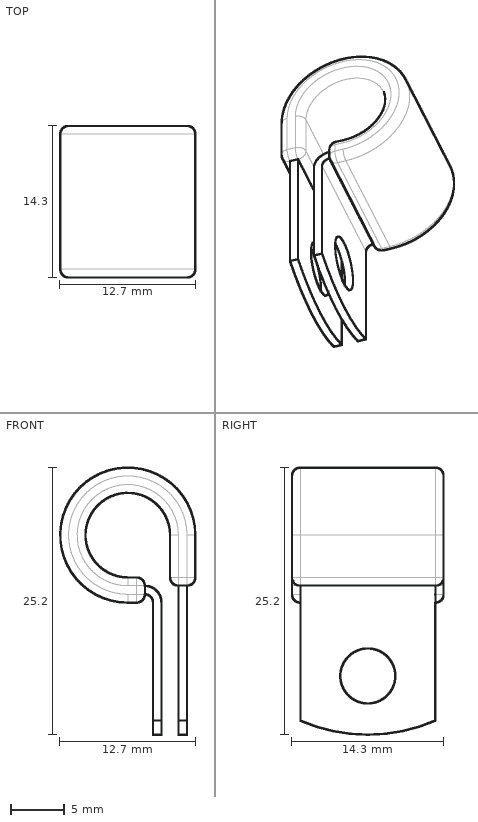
import cadquery as cq
import math


bore_radius = 3.96875
cushion_thickness = 0.79375
strip_thickness = 0.81
strip_width = 12.7
cushion_side_length = 4.7625
cushion_bottom_length = 1.61
tab_gap = 1.5875
tab_bottom_z = -18.79
tab_end_radius = 15.875
hole_diameter = 5.159
hole_center_z = -13.25

cushion_width = strip_width + 2 * cushion_thickness
strip_inner_radius = bore_radius + cushion_thickness
strip_outer_radius = strip_inner_radius + strip_thickness
cushion_outer_radius = strip_outer_radius + cushion_thickness
bent_tab_outer_x = strip_inner_radius - tab_gap
bent_tab_inner_x = bent_tab_outer_x - strip_thickness
bend_outer_radius = bent_tab_outer_x - cushion_bottom_length
bend_inner_radius = bend_outer_radius - strip_thickness


def extrude_centered(profile, width):
    """Extrude an XZ profile symmetrically about the Y = 0 plane."""
    return profile.extrude(width / 2, both=True)


def arc_middle(radius):
    """Middle point of the three-quarter loop arc, up and to the left of the axis."""
    offset = radius * math.sqrt(0.5)
    return (-offset, offset)


def make_cushion():
    """Three-quarter ring with two short straight ends, rounded on every edge."""
    profile = (
        cq.Workplane("XZ")
        .moveTo(cushion_outer_radius, -cushion_side_length)
        .lineTo(cushion_outer_radius, 0)
        .threePointArc(arc_middle(cushion_outer_radius), (0, -cushion_outer_radius))
        .lineTo(cushion_bottom_length, -cushion_outer_radius)
        .lineTo(cushion_bottom_length, -bore_radius)
        .lineTo(0, -bore_radius)
        .threePointArc(arc_middle(bore_radius), (bore_radius, 0))
        .lineTo(bore_radius, -cushion_side_length)
        .close()
    )
    cushion = extrude_centered(profile, cushion_width)
    wall_middle_radius = (bore_radius + cushion_outer_radius) / 2
    side_end = cq.selectors.NearestToPointSelector((wall_middle_radius, 0, -cushion_side_length))
    bottom_end = cq.selectors.NearestToPointSelector((cushion_bottom_length, 0, -wall_middle_radius))
    rounded_faces = cushion.faces("|Y").add(cushion.faces(side_end)).add(cushion.faces(bottom_end))
    return rounded_faces.edges().fillet(cushion_thickness)


def make_strip():
    """Constant-thickness strip: straight tab, loop, then a bend into the second tab."""
    bend_center_z = -strip_inner_radius - bend_outer_radius

    def bend_middle(radius):
        offset = radius * math.sqrt(0.5)
        return (cushion_bottom_length + offset, bend_center_z + offset)

    profile = (
        cq.Workplane("XZ")
        .moveTo(strip_outer_radius, tab_bottom_z)
        .lineTo(strip_outer_radius, 0)
        .threePointArc(arc_middle(strip_outer_radius), (0, -strip_outer_radius))
        .lineTo(cushion_bottom_length, -strip_outer_radius)
        .threePointArc(bend_middle(bend_inner_radius), (bent_tab_inner_x, bend_center_z))
        .lineTo(bent_tab_inner_x, tab_bottom_z)
        .lineTo(bent_tab_outer_x, tab_bottom_z)
        .lineTo(bent_tab_outer_x, bend_center_z)
        .threePointArc(bend_middle(bend_outer_radius), (cushion_bottom_length, -strip_inner_radius))
        .lineTo(0, -strip_inner_radius)
        .threePointArc(arc_middle(strip_inner_radius), (strip_inner_radius, 0))
        .lineTo(strip_inner_radius, tab_bottom_z)
        .close()
    )
    return extrude_centered(profile, strip_width)


def round_tab_ends(strip):
    """Trim the lower ends of both tabs to one shallow arc across the width."""
    half_width = strip_width / 2
    arc_height = tab_end_radius - math.sqrt(tab_end_radius**2 - half_width**2)
    tab_corner_z = tab_bottom_z + arc_height
    envelope = (
        cq.Workplane("YZ")
        .moveTo(-half_width, tab_corner_z)
        .threePointArc((0, tab_bottom_z), (half_width, tab_corner_z))
        .lineTo(half_width, cushion_outer_radius)
        .lineTo(-half_width, cushion_outer_radius)
        .close()
        .extrude(cushion_outer_radius, both=True)
    )
    return strip.intersect(envelope)


def make_screw_hole():
    """Cylinder along X that pierces both tabs."""
    return (
        cq.Workplane("YZ")
        .center(0, hole_center_z)
        .circle(hole_diameter / 2)
        .extrude(cushion_outer_radius)
    )


strip = round_tab_ends(make_strip()).cut(make_screw_hole())
result = make_cushion().union(strip)